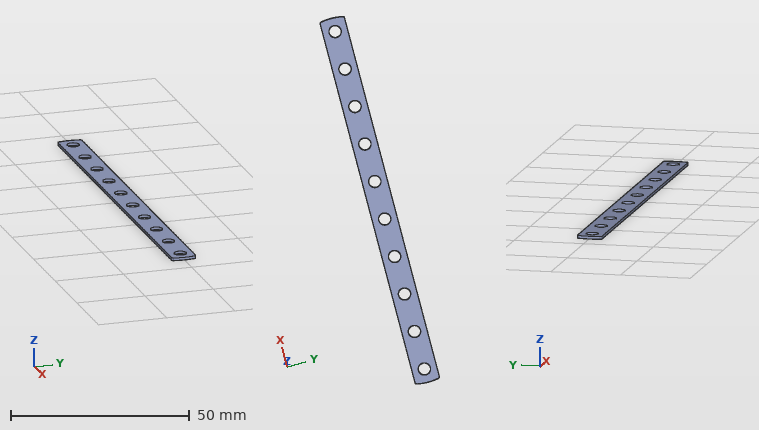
import cadquery as cq

length = 106.9
width = 7.1
thickness = 0.81
end_bulge = 0.4
corner_radius = 0.5

hole_count = 10
hole_pitch = 11.0
hole_diameter = 3.4


def strip():
    """Flat strip with slightly bowed ends and rounded corners."""
    half_width = width / 2
    tip_x = length / 2
    corner_x = tip_x - end_bulge
    outline = (
        cq.Workplane("XY")
        .moveTo(-corner_x, -half_width)
        .lineTo(corner_x, -half_width)
        .threePointArc((tip_x, 0), (corner_x, half_width))
        .lineTo(-corner_x, half_width)
        .threePointArc((-tip_x, 0), (-corner_x, -half_width))
        .close()
    )
    return outline.extrude(thickness).edges("|Z").fillet(corner_radius)


def hole_row():
    """Cylinders for the evenly spaced through holes, centred on the strip."""
    return (
        cq.Workplane("XY")
        .rarray(hole_pitch, 1.1, hole_count, 1)
        .circle(hole_diameter / 2)
        .extrude(thickness)
    )


result = strip().cut(hole_row())